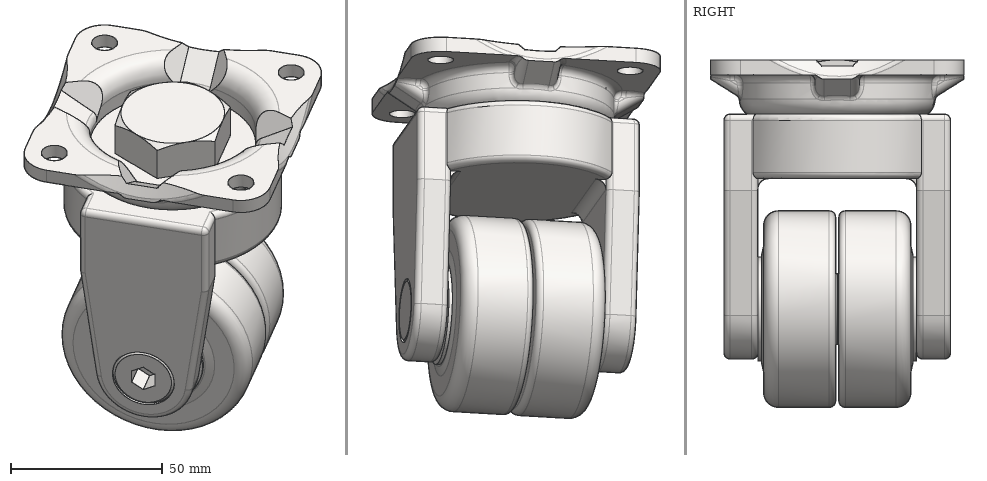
import cadquery as cq
import math


TOTAL_HEIGHT = 115.0
SHEET = 5.0

PLATE_SIDE = 84.0
PLATE_CORNER = 10.0
HOLE_OFFSET = 32.0
HOLE_DIAMETER = 8.5
DISH_DEPTH = 13.0
DISH_RADIUS = 27.5
RIM_ROUND = 7.7
RIB_SLOPE = 32.0
GROOVE_WIDTH = 10.3
GROOVE_FLARE = 41.0
GROOVE_LIP_ROUND = 3.5
GROOVE_END_RADIUS = 39.3
GROOVE_END_DEPTH = 2.2
EDGE_SPARE = 2.3
RIB_WIDTH = 14.7
RIB_ROUND = 3.0
RIB_BLEND = 2.0
DISH_BOTTOM_ROUND = 6.2
DISH_ROUND_TOP = 13.0
SCALLOP_RADIUS = 58.6
SCALLOP_DEPTH = 3.8
SCALLOP_BLEND = 2.5
BOLT_ACROSS_FLATS = 34.3
BOLT_CHAMFER_ANGLE = 30.0

CROWN_HEIGHT = 21.4
CROWN_REACH = 36.1
CROWN_JOIN_Y = 27.8
LEG_OUTER_Y = 37.5
LEG_INNER_Y = 26.2
LEG_HALF_WIDTH = 22.0
LEG_STRAIGHT = 25.3
LEG_END_RADIUS = 16.6
FORK_ROUND = 2.1
CROWN_LEG_ROUND = 3.5

WHEEL_RADIUS = 32.5
WHEEL_FACE_Y = 24.4
WHEEL_GAP = 0.99
OUTER_ROUND = 5.0
INNER_ROUND = 2.2
BOSS_BASE_RADIUS = 20.9
BOSS_TOP_RADIUS = 17.8
BOSS_HEIGHT = 0.7
HUB_RADIUS = 17.2
INNER_HUB_RADIUS = 11.7

AXLE_RADIUS = 10.6
AXLE_CHAMFER = 0.9
SOCKET_ACROSS_FLATS = 7.9
SOCKET_DEPTH = 8.0

FLOOR_Z = -DISH_DEPTH
FORK_TOP = FLOOR_Z - SHEET
CROWN_BOTTOM = FORK_TOP - CROWN_HEIGHT
AXLE_Z = WHEEL_RADIUS - TOTAL_HEIGHT
HALF_SIDE = PLATE_SIDE / 2
SLOPE = math.tan(math.radians(RIB_SLOPE))
RIB_DIRECTION = cq.Vector(1, 0, SLOPE)
QUARTER_TURNS = [0, 90, 180, 270]
SEAM_ANGLE = 45


def around_swivel(body, angle):
    return body.rotate((0, 0, 0), (0, 0, 1), angle)


def plate_outline():
    """Upright block with the plan outline of the plate and its bevelled edge middles."""
    height = -FORK_TOP
    block = cq.Workplane("XY").box(PLATE_SIDE, PLATE_SIDE, height, centered=(True, True, False))
    block = block.translate((0, 0, FORK_TOP)).edges("|Z").fillet(PLATE_CORNER)
    for angle in QUARTER_TURNS:
        block = block.cut(around_swivel(scallop(), angle))
    return block.edges("%HYPERBOLA").fillet(SCALLOP_BLEND)


def sheet_blank():
    side = PLATE_SIDE + 2 * EDGE_SPARE
    blank = cq.Workplane("XY").box(side, side, SHEET, centered=(True, True, False))
    return blank.translate((0, 0, -SHEET))


def dish_outside():
    """Underside of the dish, flared into the plate and rounded towards its flat bottom."""
    flare = RIM_ROUND - SHEET
    wall = DISH_RADIUS + SHEET
    mouth = DISH_RADIUS + RIM_ROUND
    diagonal = math.sqrt(0.5)
    sweep = math.asin((-FORK_TOP - DISH_ROUND_TOP) / DISH_BOTTOM_ROUND)
    round_centre = wall - DISH_BOTTOM_ROUND
    return (
        cq.Workplane("XZ")
        .moveTo(0, FORK_TOP)
        .lineTo(round_centre + DISH_BOTTOM_ROUND * math.cos(sweep), FORK_TOP)
        .threePointArc(
            (
                round_centre + DISH_BOTTOM_ROUND * math.cos(sweep / 2),
                -DISH_ROUND_TOP - DISH_BOTTOM_ROUND * math.sin(sweep / 2),
            ),
            (wall, -DISH_ROUND_TOP),
        )
        .lineTo(wall, -RIM_ROUND)
        .threePointArc(
            (mouth - flare * diagonal, -RIM_ROUND + flare * diagonal),
            (mouth, -SHEET),
        )
        .lineTo(0, -SHEET)
        .close()
        .revolve(360, (0, 0), (0, 1))
        .rotate((0, 0, 0), (0, 0, 1), SEAM_ANGLE)
    )


def dish_inside():
    mouth = DISH_RADIUS + RIM_ROUND
    diagonal = math.sqrt(0.5)
    return (
        cq.Workplane("XZ")
        .moveTo(0, FLOOR_Z)
        .lineTo(DISH_RADIUS, FLOOR_Z)
        .lineTo(DISH_RADIUS, -RIM_ROUND)
        .threePointArc(
            (mouth - RIM_ROUND * diagonal, -RIM_ROUND + RIM_ROUND * diagonal),
            (mouth, 0),
        )
        .lineTo(0, 0)
        .close()
        .revolve(360, (0, 0), (0, 1))
        .rotate((0, 0, 0), (0, 0, 1), SEAM_ANGLE)
    )


def groove_floor_z(radius):
    return -GROOVE_END_DEPTH - (GROOVE_END_RADIUS - radius) * SLOPE


def groove_plane(radius):
    """Plane square to the groove floor line, local X along Y and local Y out of the floor."""
    return cq.Plane(origin=(radius, 0, groove_floor_z(radius)), xDir=(0, 1, 0), normal=RIB_DIRECTION)


def rib():
    """Sloping rib below the +X edge of the plate, one sheet thickness under its groove."""
    length = HALF_SIDE + EDGE_SPARE - DISH_RADIUS
    bar = (
        cq.Workplane(groove_plane(DISH_RADIUS - SHEET))
        .center(0, -SHEET)
        .rect(RIB_WIDTH, RIB_WIDTH)
        .extrude(2 * length)
        .edges(cq.selectors.ParallelDirSelector(RIB_DIRECTION))
        .fillet(RIB_ROUND)
        .translate((0, 0, RIB_WIDTH / 2 / math.cos(math.radians(RIB_SLOPE))))
    )
    space = cq.Workplane("XY").box(length, RIB_WIDTH, DISH_DEPTH, centered=(False, True, False))
    return bar.intersect(space.translate((DISH_RADIUS, 0, -DISH_DEPTH - SHEET / 2)))


def add_rib(plate, angle):
    """Joins the rib at +X, with its concave corners blended, to a plate turned by the angle."""
    turned = around_swivel(plate, -angle).union(rib())
    half = RIB_WIDTH / 2 + 0.1
    corners = turned.edges(
        cq.selectors.BoxSelector((DISH_RADIUS, -half, FORK_TOP), (HALF_SIDE, half, -SHEET + 0.1))
    ).edges(cq.selectors.InverseSelector(cq.selectors.ParallelDirSelector(RIB_DIRECTION)))
    return around_swivel(corners.fillet(RIB_BLEND), angle)


def groove():
    """Cutter with a flat sloping floor and flared sides."""
    start = DISH_RADIUS - SHEET
    length = 2 * (HALF_SIDE - start)
    height = DISH_DEPTH
    half = GROOVE_WIDTH / 2
    top_half = half + height * math.tan(math.radians(GROOVE_FLARE))
    return (
        cq.Workplane(groove_plane(start))
        .polyline([(-half, 0), (half, 0), (top_half, height), (-top_half, height)])
        .close()
        .extrude(length)
    )


def scallop():
    """Conical cutter that bevels the middle of the +X edge, square to the groove floor."""
    centre = HALF_SIDE - SCALLOP_DEPTH + SCALLOP_RADIUS
    bottom_radius = SCALLOP_RADIUS - 2 * SHEET * SLOPE
    cone = cq.Solid.makeCone(SCALLOP_RADIUS, bottom_radius, 2 * SHEET, dir=cq.Vector(0, 0, -1))
    return cq.Workplane(cone.translate(cq.Vector(centre, 0, 0)))


def bolt_head():
    """Hexagonal head on the dish floor, flush with the plate top, corners at +Y and -Y."""
    corner_radius = BOLT_ACROSS_FLATS / math.sqrt(3)
    taper = math.tan(math.radians(BOLT_CHAMFER_ANGLE))
    hexagon = (
        cq.Workplane("XY")
        .workplane(offset=FLOOR_Z)
        .polygon(6, 2 * corner_radius)
        .extrude(DISH_DEPTH)
        .rotate((0, 0, 0), (0, 0, 1), 90)
    )
    bevel = cq.Solid.makeCone(
        BOLT_ACROSS_FLATS / 2 + DISH_DEPTH / taper,
        BOLT_ACROSS_FLATS / 2,
        DISH_DEPTH,
        pnt=cq.Vector(0, 0, FLOOR_Z),
    )
    return hexagon.intersect(cq.Workplane(bevel))


def round_groove_lip(plate, angle):
    """Rounds the edge where the groove floor at +X, turned by the angle, meets the dish wall."""
    turned = around_swivel(plate, -angle)
    lip = turned.edges("%ELLIPSE").edges(
        cq.selectors.NearestToPointSelector((DISH_RADIUS, 0, groove_floor_z(DISH_RADIUS)))
    )
    return around_swivel(lip.fillet(GROOVE_LIP_ROUND), angle)


def make_plate():
    plate = sheet_blank().union(dish_outside())
    for angle in QUARTER_TURNS:
        plate = add_rib(plate, angle)
    plate = plate.intersect(plate_outline()).cut(dish_inside())
    for angle in QUARTER_TURNS:
        plate = plate.cut(around_swivel(groove(), angle))
        plate = round_groove_lip(plate, angle)
    holes = (
        cq.Workplane("XY")
        .rect(2 * HOLE_OFFSET, 2 * HOLE_OFFSET, forConstruction=True)
        .vertices()
        .circle(HOLE_DIAMETER / 2)
        .extrude(-SHEET)
    )
    return plate.cut(holes).union(bolt_head())


def fork_leg():
    """Leg on the -Y side: straight, then tapering tangent to its round end."""
    taper_z = FORK_TOP - LEG_STRAIGHT
    rise = taper_z - AXLE_Z
    distance = math.hypot(LEG_HALF_WIDTH, rise)
    tangent_angle = math.atan2(rise, LEG_HALF_WIDTH) - math.acos(LEG_END_RADIUS / distance)
    tangent_x = LEG_END_RADIUS * math.cos(tangent_angle)
    tangent_z = AXLE_Z + LEG_END_RADIUS * math.sin(tangent_angle)
    leg = (
        cq.Workplane("XZ", origin=(0, -LEG_INNER_Y, 0))
        .moveTo(-LEG_HALF_WIDTH, FORK_TOP)
        .lineTo(LEG_HALF_WIDTH, FORK_TOP)
        .lineTo(LEG_HALF_WIDTH, taper_z)
        .lineTo(tangent_x, tangent_z)
        .threePointArc((0, AXLE_Z - LEG_END_RADIUS), (-tangent_x, tangent_z))
        .lineTo(-LEG_HALF_WIDTH, taper_z)
        .close()
        .extrude(LEG_OUTER_Y - LEG_INNER_Y)
    )
    outer_and_top = leg.faces("<Y or >Z").edges("not >Y")
    inner_sides = leg.faces(">Y").edges("not >Z")
    return leg.newObject(outer_and_top.vals() + inner_sides.vals()).fillet(FORK_ROUND)


def fork_crown():
    """Block between the legs with bulging sides, rounded above and below."""
    return (
        cq.Workplane("XY", origin=(0, 0, CROWN_BOTTOM))
        .moveTo(LEG_HALF_WIDTH, -CROWN_JOIN_Y)
        .threePointArc((CROWN_REACH, 0), (LEG_HALF_WIDTH, CROWN_JOIN_Y))
        .lineTo(-LEG_HALF_WIDTH, CROWN_JOIN_Y)
        .threePointArc((-CROWN_REACH, 0), (-LEG_HALF_WIDTH, -CROWN_JOIN_Y))
        .close()
        .extrude(CROWN_HEIGHT)
        .edges("%CIRCLE")
        .fillet(FORK_ROUND)
    )


def crown_gusset():
    """Concave rounding under the crown along the inside of the -Y leg."""
    leg_side = -LEG_INNER_Y
    centre_y = leg_side + CROWN_LEG_ROUND
    centre_z = CROWN_BOTTOM - CROWN_LEG_ROUND
    reach = CROWN_LEG_ROUND * math.sqrt(0.5)
    return (
        cq.Workplane("YZ")
        .moveTo(leg_side, centre_z)
        .threePointArc((centre_y - reach, centre_z + reach), (centre_y, CROWN_BOTTOM))
        .lineTo(centre_y, CROWN_BOTTOM + FORK_ROUND)
        .lineTo(leg_side - FORK_ROUND, CROWN_BOTTOM + FORK_ROUND)
        .lineTo(leg_side - FORK_ROUND, centre_z)
        .close()
        .extrude(LEG_HALF_WIDTH - FORK_ROUND, both=True)
    )


def axle_bore():
    return cq.Workplane("XZ", origin=(0, 0, AXLE_Z)).circle(AXLE_RADIUS).extrude(LEG_OUTER_Y, both=True)


def make_fork():
    side = fork_leg().union(crown_gusset())
    fork = fork_crown().union(side).union(side.mirror("XZ"))
    return fork.cut(axle_bore())


def make_wheel(side):
    """One wheel; side is -1 or +1 along Y. Its hub reaches from Y = 0 to the fork leg."""
    inner_face = WHEEL_GAP / 2
    boss_top = WHEEL_FACE_Y + BOSS_HEIGHT
    diagonal = math.sqrt(0.5)
    outer_centre = (WHEEL_RADIUS - OUTER_ROUND, WHEEL_FACE_Y - OUTER_ROUND)
    inner_centre = (WHEEL_RADIUS - INNER_ROUND, inner_face + INNER_ROUND)
    profile = (
        cq.Workplane("XY")
        .moveTo(AXLE_RADIUS, 0)
        .lineTo(INNER_HUB_RADIUS, 0)
        .lineTo(INNER_HUB_RADIUS, inner_face)
        .lineTo(inner_centre[0], inner_face)
        .threePointArc(
            (inner_centre[0] + INNER_ROUND * diagonal, inner_centre[1] - INNER_ROUND * diagonal),
            (WHEEL_RADIUS, inner_centre[1]),
        )
        .lineTo(WHEEL_RADIUS, outer_centre[1])
        .threePointArc(
            (outer_centre[0] + OUTER_ROUND * diagonal, outer_centre[1] + OUTER_ROUND * diagonal),
            (outer_centre[0], WHEEL_FACE_Y),
        )
        .lineTo(BOSS_BASE_RADIUS, WHEEL_FACE_Y)
        .lineTo(BOSS_TOP_RADIUS, boss_top)
        .lineTo(HUB_RADIUS, boss_top)
        .lineTo(HUB_RADIUS, LEG_INNER_Y)
        .lineTo(AXLE_RADIUS, LEG_INNER_Y)
        .close()
    )
    wheel = profile.revolve(360, (0, 0), (0, 1))
    if side < 0:
        wheel = wheel.rotate((0, 0, 0), (0, 0, 1), 180)
    return wheel.translate((0, 0, AXLE_Z))


def make_axle():
    """Plain pin flush with both legs, with a hexagon socket in its -Y end."""
    pin = (
        cq.Workplane("XZ", origin=(0, LEG_OUTER_Y, AXLE_Z))
        .circle(AXLE_RADIUS)
        .extrude(2 * LEG_OUTER_Y)
        .edges()
        .chamfer(AXLE_CHAMFER)
    )
    socket = (
        cq.Workplane("XZ", origin=(0, -LEG_OUTER_Y, 0))
        .polygon(6, 2 * SOCKET_ACROSS_FLATS / math.sqrt(3))
        .extrude(-SOCKET_DEPTH)
        .rotate((0, 0, 0), (0, 1, 0), 90)
        .translate((0, 0, AXLE_Z))
    )
    return pin.cut(socket)


plate = make_plate()
fork = make_fork()
axle = make_axle()
wheels = [make_wheel(side) for side in (-1, 1)]

result = cq.Compound.makeCompound(
    [plate.val(), fork.val(), axle.val()] + [wheel.val() for wheel in wheels]
)